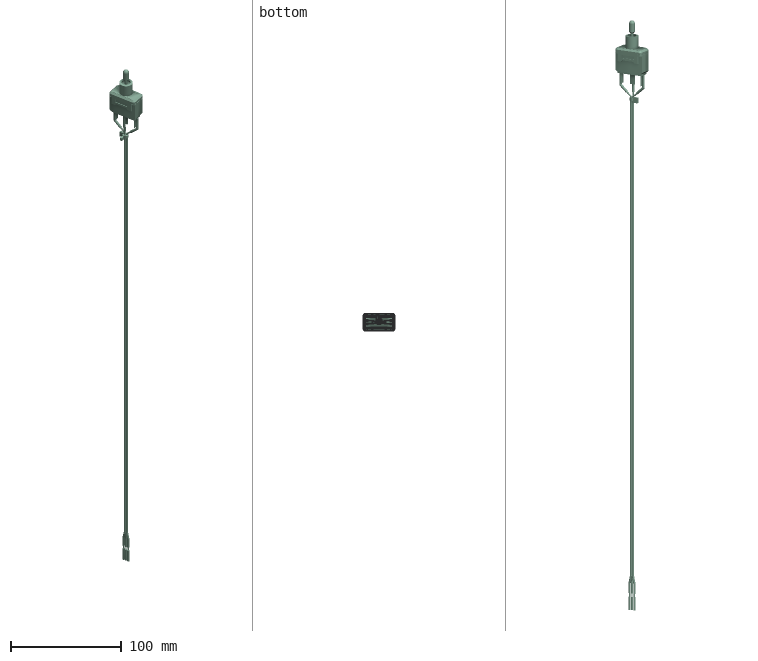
import cadquery as cq
import math

OVERALL_HEIGHT = 548.3
FRAME_LENGTH = 28.0
FRAME_WIDTH = 15.5

LEVER_TOP = 25.3
LEVER_DIAMETER = 5.4
LEVER_NECK_DIAMETER = 2.6
LEVER_TAPER_BOTTOM = 13.6
LEVER_TAPER_TOP = 15.0
BUSHING_DIAMETER = 12.0
BUSHING_HEIGHT = 11.3
BUSHING_MOUTH_DIAMETER = 8.0
BUSHING_MOUTH_DEPTH = 1.5

FRAME_HEIGHT = 5.0
FRAME_BEVEL = 1.6
FRAME_CORNER_RADIUS = 2.5
SEAM_DEPTH = 0.3
SEAM_TOP_DROP = 2.8
SEAM_BOTTOM_DROP = 4.2
TAB_WIDTH = 21.4
TAB_DROP = 12.2
BODY_WIDTH = 12.0
TAB_THICKNESS = (FRAME_WIDTH - BODY_WIDTH) / 2
TAB_FOLD_Y = 4.1
TAB_FOLD_RISE = 0.2
NOTCH_TOP_WIDTH = 11.5
NOTCH_BOTTOM_WIDTH = 13.5
NOTCH_TOP_DROP = 10.8
WINDOW_WIDTH = 13.2
WINDOW_DEPTH = 0.5
WINDOW_TOP_DROP = 6.0
WINDOW_BOTTOM_DROP = 8.8

BODY_DROP = 22.2
BODY_END_BEVEL = 1.6
BASE_LENGTH = 24.8
BASE_WIDTH = 9.0
BASE_DROP = 24.0

SOLDER_TAB_WIDTH = 4.8
SOLDER_TAB_THICKNESS = 0.8
SOLDER_TAB_DROP = 34.0
SOLDER_TAB_X = 10.6
MIDDLE_TAB_Y = -1.1

SLEEVE_DIAMETER = 2.3
SLEEVE_SINK = 0.1
BUNDLE_WIRE_DIAMETER = 2.1
WIRE_DIAMETER = 2.0
CORE_DIAMETER = 1.34
BUNDLE_PITCH = 2.0
END_PITCH = 2.5
BEND_DROP = 35.8
SLEEVE_FRACTION = 0.6
BUNDLE_START_DROP = 45.5
BUNDLE_END_DROP = 491.0
SPREAD_END_DROP = 498.0
STRIP_START_DROP = 507.6
STRIP_END_DROP = 510.9
WIRE_END_DROP = OVERALL_HEIGHT - LEVER_TOP

TIE_CENTRE_Y = -0.8
TIE_DIAMETER = 5.2
TIE_TOP_DROP = 46.5
TIE_HEIGHT = 2.6
KNOT_REACH = 6.2
KNOT_THICKNESS = 2.2
KNOT_TOP_DROP = 45.8
FRONT_KNOT_STEP = 2.0
FRONT_KNOT_X = -1.5
KNOT_HEIGHT = 5.0


def box_below(length, width, top_drop, bottom_drop, x=0.0, y=0.0):
    """Box centred on (x, y) between two depths below the frame's top face."""
    height = bottom_drop - top_drop
    return cq.Workplane("XY").box(length, width, height).translate((x, y, -(top_drop + bottom_drop) / 2))


def rod(start, end, diameter):
    """Round rod between two points."""
    end_point = cq.Vector(*end)
    axis = cq.Vector(*start) - end_point
    return cq.Workplane(cq.Solid.makeCylinder(diameter / 2, axis.Length, end_point, axis))


def joint(centre, diameter):
    """Ball that rounds off the corner where two rods meet."""
    return cq.Workplane("XY").sphere(diameter / 2).translate(centre)


def point_between(start, end, fraction):
    """Point a given fraction of the way from start to end."""
    return tuple(a + fraction * (b - a) for a, b in zip(start, end))


def make_lever():
    radius = LEVER_DIAMETER / 2
    neck_radius = LEVER_NECK_DIAMETER / 2
    shoulder = LEVER_TOP - radius
    arc_middle = (radius * math.sin(math.pi / 4), shoulder + radius * math.cos(math.pi / 4))
    profile = (
        cq.Workplane("XZ")
        .moveTo(0, 0)
        .lineTo(neck_radius, 0)
        .lineTo(neck_radius, LEVER_TAPER_BOTTOM)
        .lineTo(radius, LEVER_TAPER_TOP)
        .lineTo(radius, shoulder)
        .threePointArc(arc_middle, (0, LEVER_TOP))
        .close()
    )
    return profile.revolve(360, (0, 0), (0, 1))


def make_bushing():
    bushing = cq.Workplane("XY").circle(BUSHING_DIAMETER / 2).extrude(BUSHING_HEIGHT)
    return bushing.faces(">Z").workplane().hole(BUSHING_MOUTH_DIAMETER, BUSHING_MOUTH_DEPTH)


def make_frame_tab(side):
    """Folded frame tab on one Y side, with a flared notch and a shallow window recess."""
    fold_width = FRAME_WIDTH / 2 - FRAME_BEVEL - TAB_FOLD_Y
    fold_y = side * (TAB_FOLD_Y + fold_width / 2)
    fold = box_below(TAB_WIDTH, fold_width, -TAB_FOLD_RISE, FRAME_BEVEL, y=fold_y)
    tab_y = side * (FRAME_WIDTH - TAB_THICKNESS) / 2
    tab = box_below(TAB_WIDTH, TAB_THICKNESS, FRAME_BEVEL, TAB_DROP, y=tab_y)
    notch = (
        cq.Workplane("XZ")
        .polyline([
            (-NOTCH_TOP_WIDTH / 2, -NOTCH_TOP_DROP),
            (NOTCH_TOP_WIDTH / 2, -NOTCH_TOP_DROP),
            (NOTCH_BOTTOM_WIDTH / 2, -TAB_DROP),
            (-NOTCH_BOTTOM_WIDTH / 2, -TAB_DROP),
        ])
        .close()
        .extrude(TAB_THICKNESS / 2, both=True)
        .translate((0, tab_y, 0))
    )
    window_y = side * (FRAME_WIDTH - WINDOW_DEPTH) / 2
    window = box_below(WINDOW_WIDTH, WINDOW_DEPTH, WINDOW_TOP_DROP, WINDOW_BOTTOM_DROP, y=window_y)
    return fold.union(tab.cut(notch).cut(window))


def make_frame():
    frame = box_below(FRAME_LENGTH, FRAME_WIDTH, 0, FRAME_HEIGHT)
    frame = frame.edges("|Z").fillet(FRAME_CORNER_RADIUS).faces(">Z").chamfer(FRAME_BEVEL)
    seam_limits = (SEAM_TOP_DROP, SEAM_BOTTOM_DROP)
    inset = 2 * SEAM_DEPTH
    seam = box_below(FRAME_LENGTH, FRAME_WIDTH, *seam_limits)
    seam = seam.cut(box_below(FRAME_LENGTH - inset, FRAME_WIDTH - inset, *seam_limits))
    return frame.cut(seam)


def make_housing():
    frame = make_frame()
    body = box_below(FRAME_LENGTH, BODY_WIDTH, FRAME_HEIGHT, BODY_DROP)
    body = body.edges("|Y and <Z").chamfer(BODY_END_BEVEL)
    base = box_below(BASE_LENGTH, BASE_WIDTH, BODY_DROP, BASE_DROP)
    housing = frame.union(body).union(base)
    for side in (-1, 1):
        housing = housing.union(make_frame_tab(side))
    return housing


def make_solder_tabs():
    tabs = box_below(SOLDER_TAB_WIDTH, SOLDER_TAB_THICKNESS, BASE_DROP, SOLDER_TAB_DROP, y=MIDDLE_TAB_Y)
    for side in (-1, 1):
        x = side * SOLDER_TAB_X
        tabs = tabs.union(
            box_below(SOLDER_TAB_THICKNESS, SOLDER_TAB_WIDTH, BASE_DROP, SOLDER_TAB_DROP, x=x)
        )
    return tabs


def make_wire(tab_xy, bundle_xy, end_xy):
    """One wire from its solder tab, through the bundle, to its half-stripped end."""
    tab_top = (*tab_xy, -BASE_DROP)
    bend = (*tab_xy, -BEND_DROP)
    bundle_start = (*bundle_xy, -BUNDLE_START_DROP)
    bundle_end = (*bundle_xy, -BUNDLE_END_DROP)
    spread_end = (*end_xy, -SPREAD_END_DROP)
    strip_start = (*end_xy, -STRIP_START_DROP)
    strip_end = (*end_xy, -STRIP_END_DROP)
    wire_end = (*end_xy, -WIRE_END_DROP)
    sleeve_end = point_between(bend, bundle_start, SLEEVE_FRACTION)

    pieces = [
        rod(tab_top, bend, SLEEVE_DIAMETER),
        joint(bend, SLEEVE_DIAMETER),
        rod(bend, sleeve_end, SLEEVE_DIAMETER),
        rod(sleeve_end, bundle_start, CORE_DIAMETER),
        rod(bundle_start, bundle_end, BUNDLE_WIRE_DIAMETER),
        rod(bundle_end, spread_end, WIRE_DIAMETER),
        joint(spread_end, WIRE_DIAMETER),
        rod(spread_end, strip_start, WIRE_DIAMETER),
        rod(strip_start, strip_end, CORE_DIAMETER),
        rod(strip_end, wire_end, WIRE_DIAMETER),
    ]
    wire = pieces[0]
    for piece in pieces[1:]:
        wire = wire.union(piece)
    return wire


def make_wires():
    """Three wires, stacked as a triangle in the bundle and side by side at the end."""
    sleeve_offset = (SOLDER_TAB_THICKNESS + SLEEVE_DIAMETER) / 2 - SLEEVE_SINK
    middle_y = -BUNDLE_PITCH * math.sin(math.radians(60))
    wires = make_wire((0, MIDDLE_TAB_Y - sleeve_offset), (0, middle_y), (0, 0))
    for side in (-1, 1):
        tab_xy = (side * (SOLDER_TAB_X + sleeve_offset), 0)
        bundle_xy = (side * BUNDLE_PITCH / 2, 0)
        end_xy = (side * END_PITCH, 0)
        wires = wires.union(make_wire(tab_xy, bundle_xy, end_xy))
    return wires


def make_tie():
    strap = (
        cq.Workplane("XY")
        .circle(TIE_DIAMETER / 2)
        .extrude(-TIE_HEIGHT)
        .translate((0, TIE_CENTRE_Y, -TIE_TOP_DROP))
    )
    knot_bottom = KNOT_TOP_DROP + KNOT_HEIGHT
    side_knot = box_below(KNOT_REACH, KNOT_THICKNESS, KNOT_TOP_DROP, knot_bottom, x=-KNOT_REACH / 2)
    front_knot = box_below(KNOT_THICKNESS, KNOT_REACH, KNOT_TOP_DROP + FRONT_KNOT_STEP, knot_bottom)
    front_knot = front_knot.translate((FRONT_KNOT_X, -KNOT_REACH / 2, 0))
    return strap.union(side_knot).union(front_knot)


result = (
    make_housing()
    .union(make_bushing())
    .union(make_lever())
    .union(make_solder_tabs())
    .union(make_wires())
    .union(make_tie())
)